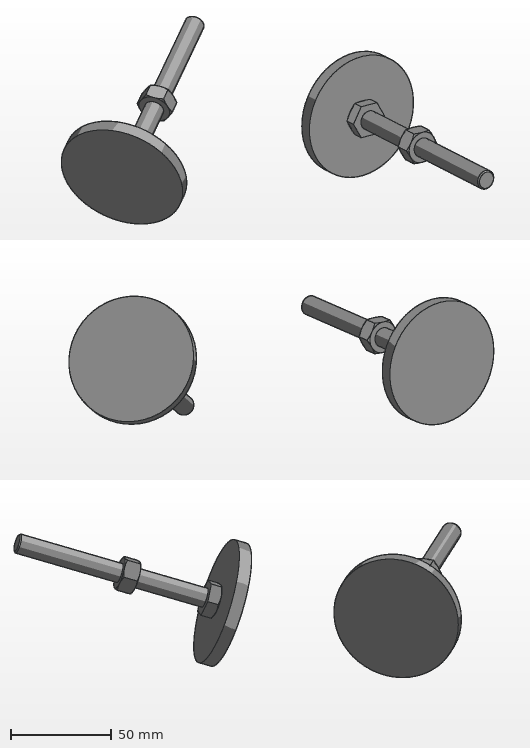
import cadquery as cq
import math

TOTAL_LENGTH = 113.0

PAD_DIAMETER = 64.0
PAD_THICKNESS = 6.5

HEAD_ACROSS_FLATS = 16.6
HEAD_THICKNESS = 6.4
HEAD_FACE_DIAMETER = 15.8
ROD_DIAMETER = 10.0
ROD_TIP_CHAMFER = 0.7

NUT_ACROSS_FLATS = 16.0
NUT_THICKNESS = 8.4
NUT_START = 50.0

CORNER_CHAMFER_ANGLE = 30.0
ENVELOPE_CLEARANCE = 0.1


def cylinder(diameter, start, length):
    """Round bar on the Y axis, from y = start towards +Y."""
    return cq.Workplane("XZ", origin=(0, start, 0)).circle(diameter / 2).extrude(-length)


def chamfered_hex(across_flats, start, length, face_diameter, chamfer_far_end):
    """Hexagonal prism with corners on X, coned down to a round face at its -Y end and optionally its +Y end."""
    corner_radius = across_flats / math.sqrt(3)
    face_radius = face_diameter / 2
    outer_radius = corner_radius + ENVELOPE_CLEARANCE
    slope = math.tan(math.radians(CORNER_CHAMFER_ANGLE))
    end = start + length

    prism = (
        cq.Workplane("XZ", origin=(0, start, 0))
        .polygon(6, 2 * corner_radius)
        .extrude(-length)
    )

    cone_depth = (outer_radius - face_radius) * slope
    profile = [(0, start), (face_radius, start), (outer_radius, start + cone_depth)]
    if chamfer_far_end:
        profile += [(outer_radius, end - cone_depth), (face_radius, end), (0, end)]
    else:
        profile += [(outer_radius, end), (0, end)]
    envelope = cq.Workplane("XY").polyline(profile).close().revolve(360, (0, 0, 0), (0, 1, 0))
    return prism.intersect(envelope)


def make_pad():
    return cylinder(PAD_DIAMETER, 0, PAD_THICKNESS)


def make_stud():
    """Threaded rod with its hex head resting on the pad."""
    head = chamfered_hex(
        HEAD_ACROSS_FLATS, PAD_THICKNESS, HEAD_THICKNESS, HEAD_FACE_DIAMETER, chamfer_far_end=False
    )
    rod_start = PAD_THICKNESS + HEAD_THICKNESS
    rod = cylinder(ROD_DIAMETER, rod_start, TOTAL_LENGTH - rod_start)
    rod = rod.faces(">Y").chamfer(ROD_TIP_CHAMFER)
    return head.union(rod)


def make_lock_nut():
    """Hex nut chamfered at both ends, bored to fit the rod."""
    body = chamfered_hex(
        NUT_ACROSS_FLATS, NUT_START, NUT_THICKNESS, NUT_ACROSS_FLATS, chamfer_far_end=True
    )
    return body.cut(cylinder(ROD_DIAMETER, NUT_START, NUT_THICKNESS))


pad = make_pad()
stud = make_stud()
lock_nut = make_lock_nut()

result = cq.Compound.makeCompound([pad.val(), stud.val(), lock_nut.val()])